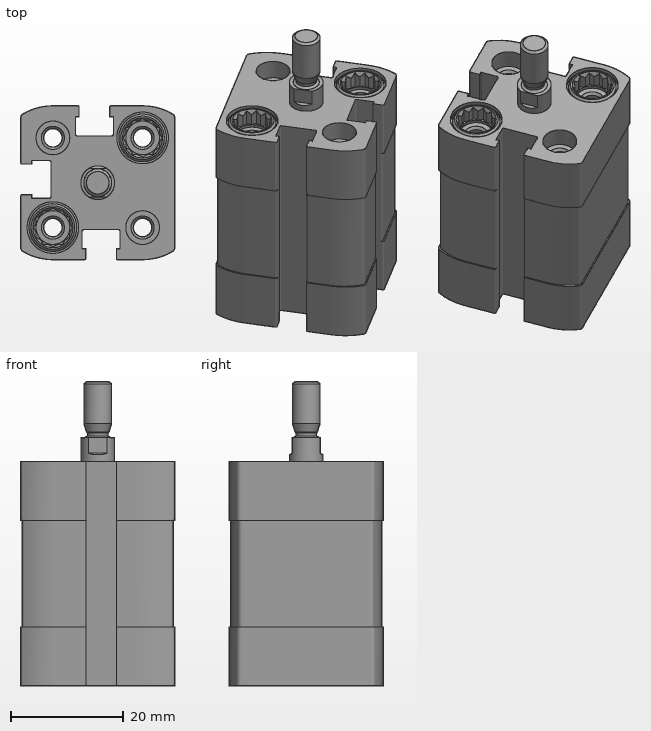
import cadquery as cq
import math

cap_width = 27.5
barrel_width = 27.0
cap_height = 10.5
barrel_height = 18.95
housing_height = 2 * cap_height + barrel_height

corner_arc_inset = 5.75
corner_arc_radius = 10.5
corner_fillet = 0.8

slot_mouth_width = 5.4
slot_chamber_width = 6.7
slot_lip_depth = 2.0
slot_depth = 5.35
slot_side_offset = 0.6
slot_edge_fillet = 0.25
slot_positions = [(0, -slot_side_offset), (90, slot_side_offset), (180, -slot_side_offset)]

hole_spacing = 16.0
hole_offset = hole_spacing / 2
through_hole_diameter = 3.25
hole_mouth_diameter = 4.1
counterbore_diameter = 6.0
counterbore_depth = 3.5
plain_hole_centers = [(-hole_offset, hole_offset), (hole_offset, -hole_offset)]
socket_hole_centers = [(-hole_offset, -hole_offset), (hole_offset, hole_offset)]

groove_diameter = 9.2
collar_diameter = 8.5
collar_rim_diameter = 7.75
groove_depth = 0.8
socket_mouth_diameter = 7.15
socket_tip_diameter = 6.2
socket_root_diameter = 6.95
socket_depth = 3.0
socket_teeth = 12
socket_first_tip_angle = 15
socket_cone_half_angle = 30

rod_diameter = 6.0
rod_collar_height = 4.25
flat_spacing = 5.05
flat_height = 2.75
flat_end_slope = 30
shoulder_diameter = 4.65
neck_diameter = 3.7
neck_bottom = 4.55
neck_top = 5.05
thread_diameter = 5.0
thread_runout_diameter = 4.0
thread_runout_bottom = 5.2
thread_runout_top = 6.7
thread_tip_diameter = 4.0
thread_tip_chamfer = 0.4
total_height = 54.2
rod_length = total_height - housing_height
rod_insertion = cap_height


def section_outline(width):
    """Square outline whose four corners are shallow arcs tangent to the front and back sides."""
    half = width / 2
    flat_end = half - corner_arc_inset
    center_y = half - corner_arc_radius
    corner_y = center_y + math.sqrt(corner_arc_radius**2 - corner_arc_inset**2)
    middle_x = flat_end + corner_arc_inset / 2
    middle_y = center_y + math.sqrt(corner_arc_radius**2 - (corner_arc_inset / 2) ** 2)
    return (
        cq.Workplane("XY")
        .moveTo(-flat_end, half)
        .lineTo(flat_end, half)
        .threePointArc((middle_x, middle_y), (half, corner_y))
        .lineTo(half, -corner_y)
        .threePointArc((middle_x, -middle_y), (flat_end, -half))
        .lineTo(-flat_end, -half)
        .threePointArc((-middle_x, -middle_y), (-half, -corner_y))
        .lineTo(-half, corner_y)
        .threePointArc((-middle_x, middle_y), (-flat_end, half))
        .close()
    )


def slot_cutter(width, height, angle, offset):
    """T-slot in one side; its floor lies at the same place in the caps and in the barrel."""
    half = width / 2
    lip_y = cap_width / 2 - slot_lip_depth
    floor_y = cap_width / 2 - slot_depth
    mouth = (
        cq.Workplane("XY")
        .rect(slot_mouth_width, half - floor_y)
        .extrude(height)
        .translate((0, (half + floor_y) / 2, 0))
    )
    chamber = (
        cq.Workplane("XY")
        .rect(slot_chamber_width, lip_y - floor_y)
        .extrude(height)
        .translate((0, (lip_y + floor_y) / 2, 0))
        .edges("|Z and <Y")
        .fillet(slot_edge_fillet)
    )
    flare_half = slot_mouth_width / 2
    flare = (
        cq.Workplane("XY")
        .moveTo(-flare_half - slot_edge_fillet, half)
        .radiusArc((-flare_half, half - slot_edge_fillet), slot_edge_fillet)
        .lineTo(flare_half, half - slot_edge_fillet)
        .radiusArc((flare_half + slot_edge_fillet, half), slot_edge_fillet)
        .close()
        .extrude(height)
    )
    cutter = mouth.union(chamber).union(flare)
    return cutter.translate((offset, 0, 0)).rotate((0, 0, 0), (0, 0, 1), angle)


def make_section(width, height, bottom):
    section = section_outline(width).extrude(height)
    section = section.edges("|Z and (<X or >X)").fillet(corner_fillet)
    for angle, offset in slot_positions:
        section = section.cut(slot_cutter(width, height, angle, offset))
    return section.translate((0, 0, bottom))


def disc(diameter, bottom, height):
    return cq.Workplane("XY").workplane(offset=bottom).circle(diameter / 2).extrude(height)


def cone(lower_diameter, upper_diameter, bottom, height):
    profile = [(0, 0), (lower_diameter / 2, 0), (upper_diameter / 2, height), (0, height)]
    return cq.Workplane("XZ").polyline(profile).close().revolve().translate((0, 0, bottom))


def plain_hole_cutter():
    """Counterbored through hole with a 45-degree countersink at the counterbore floor."""
    floor = housing_height - counterbore_depth
    countersink_depth = (hole_mouth_diameter - through_hole_diameter) / 2
    through = disc(through_hole_diameter, 0, housing_height)
    countersink = cone(
        through_hole_diameter, hole_mouth_diameter, floor - countersink_depth, countersink_depth
    )
    counterbore = disc(counterbore_diameter, floor, counterbore_depth)
    return through.union(countersink).union(counterbore)


def toothed_prism():
    """Star-shaped prism that cuts the pointed teeth of the socket."""
    points = []
    half_pitch = 180 / socket_teeth
    for index in range(2 * socket_teeth):
        diameter = socket_root_diameter if index % 2 else socket_tip_diameter
        angle = math.radians(socket_first_tip_angle + index * half_pitch)
        points.append((diameter / 2 * math.cos(angle), diameter / 2 * math.sin(angle)))
    bottom = housing_height - socket_depth
    return cq.Workplane("XY").workplane(offset=bottom).polyline(points).close().extrude(socket_depth)


def socket_hole_cutter():
    """Plain hole plus toothed socket, conical lead-in and the groove around the collar."""
    lead_in_width = (socket_mouth_diameter - socket_tip_diameter) / 2
    lead_in_depth = lead_in_width / math.tan(math.radians(socket_cone_half_angle))
    lead_in_bottom = housing_height - lead_in_depth
    lead_in = cone(socket_tip_diameter, socket_mouth_diameter, lead_in_bottom, lead_in_depth)

    groove_bottom = housing_height - groove_depth
    chamfer_height = (collar_diameter - collar_rim_diameter) / 2
    collar = disc(collar_diameter, groove_bottom, groove_depth - chamfer_height).union(
        cone(collar_diameter, collar_rim_diameter, housing_height - chamfer_height, chamfer_height)
    )
    groove = disc(groove_diameter, groove_bottom, groove_depth).cut(collar)
    return plain_hole_cutter().union(toothed_prism()).union(lead_in).union(groove)


def make_housing():
    housing = make_section(cap_width, cap_height, 0)
    housing = housing.union(make_section(barrel_width, barrel_height, cap_height))
    housing = housing.union(make_section(cap_width, cap_height, cap_height + barrel_height))
    for x, y in plain_hole_centers:
        housing = housing.cut(plain_hole_cutter().translate((x, y, 0)))
    for x, y in socket_hole_centers:
        housing = housing.cut(socket_hole_cutter().translate((x, y, 0)))
    rod_bore = disc(rod_diameter, housing_height - rod_insertion, rod_insertion)
    return housing.cut(rod_bore)


def make_rod():
    """Turned rod with a threaded end; heights are measured from the top of the housing."""
    profile = [
        (0, -rod_insertion),
        (rod_diameter / 2, -rod_insertion),
        (rod_diameter / 2, rod_collar_height),
        (shoulder_diameter / 2, rod_collar_height),
        (neck_diameter / 2, neck_bottom),
        (neck_diameter / 2, neck_top),
        (thread_runout_diameter / 2, thread_runout_bottom),
        (thread_diameter / 2, thread_runout_top),
        (thread_diameter / 2, rod_length - thread_tip_chamfer),
        (thread_tip_diameter / 2, rod_length),
        (0, rod_length),
    ]
    rod = cq.Workplane("XZ").polyline(profile).close().revolve()

    flat_y = flat_spacing / 2
    flat_bottom = rod_collar_height - flat_height
    end_drop = (rod_diameter / 2 - flat_y) * math.tan(math.radians(flat_end_slope))
    flat = (
        cq.Workplane("YZ")
        .moveTo(flat_y, rod_collar_height)
        .lineTo(flat_y, flat_bottom)
        .lineTo(rod_diameter / 2, flat_bottom - end_drop)
        .lineTo(rod_diameter / 2, rod_collar_height)
        .close()
        .extrude(rod_diameter / 2, both=True)
    )
    rod = rod.cut(flat).cut(flat.mirror("XZ"))
    return rod.translate((0, 0, housing_height))


housing = make_housing()
rod = make_rod()
result = cq.Compound.makeCompound([housing.solids().val(), rod.solids().val()])